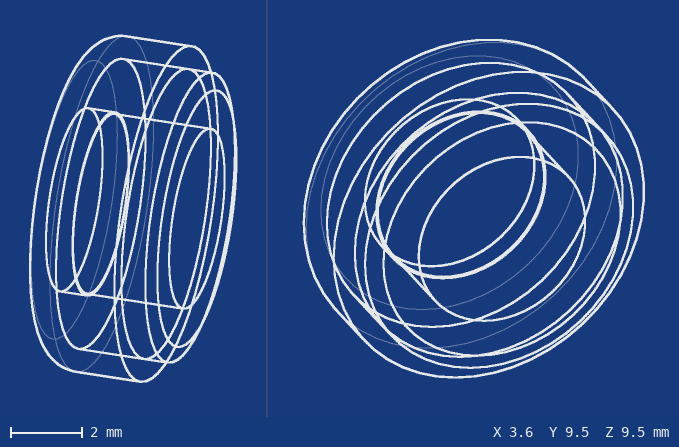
import cadquery as cq

cap_diameter = 9.5
cap_length = 2.7
cap_rounding = 0.81
cap_wall = 0.78
cap_hole_radius = 2.59

insert_radius = 4.1
insert_bore_radius = 2.55
insert_chamfer_length = 0.2
insert_chamfer_depth = 0.475
total_length = 3.6


def disc(radius, start, end):
    """Solid cylinder along X between two positions."""
    return cq.Workplane("YZ").workplane(offset=start).circle(radius).extrude(end - start)


def make_cap():
    """Cup with a rounded front rim, a central hole and a recess open at the back."""
    body = disc(cap_diameter / 2, 0, cap_length).faces("<X").edges().fillet(cap_rounding)
    hole = disc(cap_hole_radius, 0, cap_length)
    recess = disc(insert_radius, cap_wall, cap_length)
    return body.cut(hole).cut(recess)


def make_insert():
    """Bored ring seated against the cap wall, with its protruding end chamfered."""
    chamfer_start = total_length - insert_chamfer_length
    end_radius = insert_radius - insert_chamfer_depth
    half_section = (
        cq.Workplane("XY")
        .moveTo(cap_wall, insert_bore_radius)
        .lineTo(cap_wall, insert_radius)
        .lineTo(chamfer_start, insert_radius)
        .lineTo(total_length, end_radius)
        .lineTo(total_length, insert_bore_radius)
        .close()
    )
    return half_section.revolve(360, (0, 0, 0), (1, 0, 0))


cap = make_cap()
insert = make_insert()

result = cq.Compound.makeCompound([cap.val(), insert.val()])